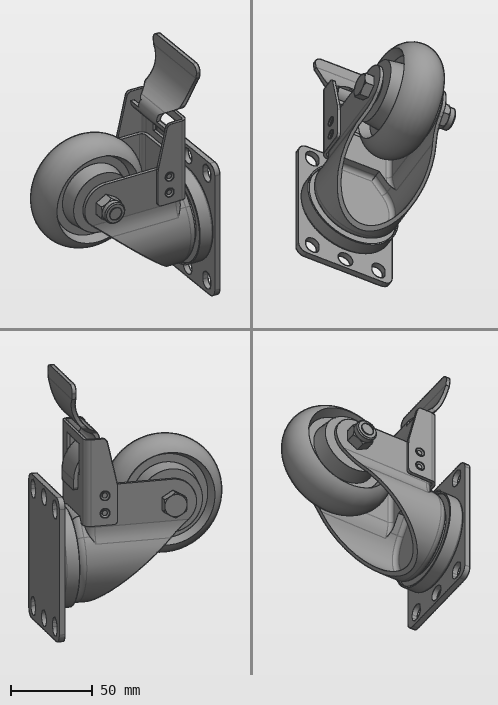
import cadquery as cq
import math


plate_width = 65.1
plate_height = 92.0
plate_thickness = 3.7
plate_corner_radius = 6.0
slot_spacing_x = 46.0
slot_spacing_z = 74.8
slot_width = 9.0
slot_length = 11.7
middle_hole_spacing = 77.5
middle_hole_diameter = 10.2

race_diameter = 63.0
race_radius = race_diameter / 2
race_height = 9.7
race_rounding = 1.5
race_rim = 1.0
race_recess_depth = 1.6
race_front = plate_thickness + race_height

fork_thickness = 2.3
cup_radius = 29.0
cup_rounding = 5.2
cup_lip_depth = 22.0
cup_shoulder_angle = math.radians(38)
arm_outer = 23.0
arm_inner = arm_outer - fork_thickness
arm_end_radius = 15.0
neck_blend_radius = 21.2
neck_bend_radius = 5.0
cavity_radius = cup_radius - fork_thickness
blend_center_x = arm_outer + neck_blend_radius
blend_center_z = math.sqrt((cup_radius + neck_blend_radius) ** 2 - blend_center_x**2)

axle_y = -75.5
axle_z = 35.2
fork_top = axle_z + arm_end_radius

tread_radius = 37.5
tire_edge_radius = 29.5
tire_width = 28.0
tire_half_width = tire_width / 2
recess_outer_radius = 26.9
recess_floor_x = 7.5
hub_root_radius = 21.7
hub_radius = 20.2
hub_half_width = 18.3
spacer_radius = 10.0

hex_flats = 14.1
hex_corners = hex_flats / math.cos(math.pi / 6)
bolt_head_chamfer_angle = math.radians(30)
nut_chamfer_angle = math.radians(45)
bolt_head_height = 6.2
nut_height = 7.3
collar_radius = 7.1
collar_height = 4.0
collar_chamfer = 0.8
bolt_tip_radius = 4.2
bolt_end = 35.0

bracket_thickness = 2.0
bracket_outer = arm_outer + bracket_thickness
bracket_front = 20.5
bracket_back = bracket_front - bracket_thickness
bracket_bend_radius = 3.9
bracket_depth = 39.5
bracket_top_depth = 32.5
bracket_bottom = 25.1
bracket_top = 80.4
bracket_shoulder = 50.4
bracket_bottom_rounding = 2.3
bracket_shoulder_rounding = 19.5
bracket_top_rounding = 3.2
window_half_width = 12.8
window_bottom = 55.2
window_top = 74.8

rivet_depth = 31.5
rivet_heights = (32.9, 44.0)
rivet_radius = 3.0
rivet_head_height = 0.5
rivet_dish_radius = 2.8
rivet_dish_bottom_radius = 1.6
rivet_dish_depth = 0.8

pedal_thickness = 2.6
pedal_top = 116.0
paddle_depth = 11.5
paddle_half_width = 26.0
paddle_side_height = 4.9
paddle_bend_start = 107.4
paddle_bend_radius = 29.3
paddle_corner_radius = 4.5
bend_half_width = 25.3
flank_half_width = 21.0
flank_height = 98.8
waist_half_width = 20.5
waist_height = 86.7
waist_rounding = 2.0
neck_half_width = 10.9
neck_top = 80.2
ear_half_width = 20.1
curl_front = 32.2
curl_radius = 6.2
tongue_half_width = 12.5
tongue_depth = 16.5
tongue_bottom = 45.2
tongue_bend_radius = 21.0
tongue_corner_radius = 1.6


def disc_along_y(radius, start, depth):
    """Round slab about the Y axis, from Y = -start towards -Y."""
    return cq.Workplane("XZ", origin=(0, -start, 0)).circle(radius).extrude(depth)


def cylinder_along_x(radius, x_from, x_to):
    """Cylinder on the axle line."""
    return (
        cq.Workplane("YZ", origin=(x_from, axle_y, axle_z)).circle(radius).extrude(x_to - x_from)
    )


def make_plate():
    plate = (
        cq.Workplane("XZ")
        .rect(plate_width, plate_height)
        .extrude(plate_thickness)
        .edges("|Y")
        .fillet(plate_corner_radius)
    )
    slots = (
        cq.Workplane("XZ")
        .rect(slot_spacing_x, slot_spacing_z, forConstruction=True)
        .vertices()
        .slot2D(slot_length, slot_width, 90)
        .extrude(plate_thickness)
    )
    middle_holes = (
        cq.Workplane("XZ")
        .pushPoints([(0, middle_hole_spacing / 2), (0, -middle_hole_spacing / 2)])
        .circle(middle_hole_diameter / 2)
        .extrude(plate_thickness)
    )
    return plate.cut(slots).cut(middle_holes)


def make_race():
    race = disc_along_y(race_radius, plate_thickness, race_height).edges(">Y").fillet(race_rounding)
    recess = disc_along_y(race_radius - race_rim, race_front - race_recess_depth, race_recess_depth)
    seat = disc_along_y(cup_radius - cup_rounding, race_front - race_recess_depth, race_recess_depth)
    return race.cut(recess).union(seat)


def keyhole(round_radius, half_width, start):
    """Round end blended into a straight neck, extruded from Y = -start to beyond the arms."""
    blend_radius = blend_center_x - half_width
    blend_angle = math.atan2(blend_center_z, blend_center_x)
    tangent_x = round_radius * math.cos(blend_angle)
    tangent_z = round_radius * math.sin(blend_angle)
    middle_x = blend_center_x - blend_radius * math.cos(blend_angle / 2)
    middle_z = blend_center_z - blend_radius * math.sin(blend_angle / 2)
    return (
        cq.Workplane("XZ", origin=(0, -start, 0))
        .moveTo(-half_width, fork_top)
        .lineTo(-half_width, blend_center_z)
        .threePointArc((-middle_x, middle_z), (-tangent_x, tangent_z))
        .threePointArc((0, -round_radius), (tangent_x, tangent_z))
        .threePointArc((middle_x, middle_z), (half_width, blend_center_z))
        .lineTo(half_width, fork_top)
        .close()
        .extrude(-axle_y + arm_end_radius)
        .faces(">Y")
        .edges("not >Z")
        .fillet(neck_bend_radius - (arm_outer - half_width))
    )


def fork_side_shape():
    """Side outline of the fork: a sloping lower edge tangent to the round arm ends."""
    lip_y = -cup_lip_depth
    lip_z = -cup_radius
    distance = math.hypot(axle_y - lip_y, axle_z - lip_z)
    to_axle = math.atan2(axle_z - lip_z, axle_y - lip_y)
    slope = to_axle + math.asin(arm_end_radius / distance)
    tangent_angle = slope + math.pi / 2
    tangent_y = axle_y + arm_end_radius * math.cos(tangent_angle)
    tangent_z = axle_z + arm_end_radius * math.sin(tangent_angle)
    return (
        cq.Workplane("YZ")
        .moveTo(-race_front, fork_top)
        .lineTo(-race_front, lip_z)
        .lineTo(lip_y, lip_z)
        .lineTo(tangent_y, tangent_z)
        .threePointArc((axle_y - arm_end_radius, axle_z), (axle_y, fork_top))
        .close()
        .extrude(cup_radius, both=True)
    )


def cup_block(radius, start, depth):
    """Round block with two slanted shoulders and a flat top, from Y = -start towards -Y."""
    tangent_x = radius * math.cos(cup_shoulder_angle)
    tangent_z = radius * math.sin(cup_shoulder_angle)
    top_half_width = radius * math.tan((math.pi / 2 - cup_shoulder_angle) / 2)
    return (
        cq.Workplane("XZ", origin=(0, -start, 0))
        .moveTo(-top_half_width, radius)
        .lineTo(-tangent_x, tangent_z)
        .threePointArc((0, -radius), (tangent_x, tangent_z))
        .lineTo(top_half_width, radius)
        .close()
        .extrude(depth)
    )


def make_cup_cavity():
    floor = race_front + fork_thickness
    return (
        cup_block(cavity_radius, floor, neck_bend_radius + bracket_front - race_front)
        .faces(">Y")
        .edges()
        .fillet(cup_rounding - fork_thickness)
    )


def make_fork():
    cup = (
        cup_block(cup_radius, race_front, cup_rounding + neck_bend_radius + fork_thickness)
        .faces(">Y")
        .edges()
        .fillet(cup_rounding)
    )
    outside = cup.union(keyhole(cup_radius, arm_outer, bracket_front))
    inside = keyhole(cavity_radius, arm_inner, bracket_front + fork_thickness)
    return outside.cut(inside).intersect(fork_side_shape())


def u_channel(half_width, start, bend_radius):
    """Block with two rounded back edges, from Y = -start towards -Y over the bracket height."""
    depth = bracket_depth - start
    return (
        cq.Workplane("XY", origin=(0, -start - depth / 2, bracket_bottom))
        .rect(2 * half_width, depth)
        .extrude(bracket_top - bracket_bottom)
        .edges("|Z and >Y")
        .fillet(bend_radius)
    )


def round_edge(body, y, z, radius):
    """Round the X-parallel edge of a prism at the given place."""
    return body.edges(cq.selectors.NearestToPointSelector((0, y, z))).fillet(radius)


def make_bracket():
    channel = u_channel(bracket_outer, bracket_back, bracket_bend_radius).cut(
        u_channel(arm_outer, bracket_front, bracket_bend_radius - bracket_thickness)
    )
    side = (
        cq.Workplane("YZ")
        .moveTo(-bracket_back, bracket_bottom)
        .lineTo(-bracket_depth, bracket_bottom)
        .lineTo(-bracket_depth, bracket_shoulder)
        .lineTo(-bracket_top_depth, bracket_top)
        .lineTo(-bracket_back, bracket_top)
        .close()
        .extrude(bracket_outer, both=True)
    )
    side = round_edge(side, -bracket_depth, bracket_bottom, bracket_bottom_rounding)
    side = round_edge(side, -bracket_depth, bracket_shoulder, bracket_shoulder_rounding)
    side = round_edge(side, -bracket_top_depth, bracket_top, bracket_top_rounding)
    window = (
        cq.Workplane("XZ", origin=(0, -bracket_back, 0))
        .moveTo(0, (window_top + window_bottom) / 2)
        .rect(2 * window_half_width, window_top - window_bottom)
        .extrude(bracket_thickness)
    )
    return channel.intersect(side).cut(window)


def make_rivet_heads():
    """Rivet heads on the +X side of the bracket."""
    return (
        cq.Workplane("YZ", origin=(bracket_outer, 0, 0))
        .pushPoints([(-rivet_depth, height) for height in rivet_heights])
        .circle(rivet_radius)
        .extrude(rivet_head_height)
    )


def make_rivet_dishes():
    """Conical hollows in the rivet heads on the +X side."""
    taper = math.degrees(
        math.atan((rivet_dish_radius - rivet_dish_bottom_radius) / rivet_dish_depth)
    )
    return (
        cq.Workplane("YZ", origin=(bracket_outer + rivet_head_height, 0, 0))
        .pushPoints([(-rivet_depth, height) for height in rivet_heights])
        .circle(rivet_dish_radius)
        .extrude(-rivet_dish_depth, taper=taper)
    )


def make_wheel():
    """Tire, recessed web, hub and spacers, turned about the axle line."""
    return (
        cq.Workplane("XY", origin=(0, axle_y, axle_z))
        .moveTo(-arm_inner, 0)
        .lineTo(-arm_inner, spacer_radius)
        .lineTo(-hub_half_width, spacer_radius)
        .lineTo(-hub_half_width, hub_radius)
        .lineTo(-recess_floor_x, hub_root_radius)
        .lineTo(-recess_floor_x, recess_outer_radius)
        .lineTo(-tire_half_width, tire_edge_radius)
        .threePointArc((0, tread_radius), (tire_half_width, tire_edge_radius))
        .lineTo(recess_floor_x, recess_outer_radius)
        .lineTo(recess_floor_x, hub_root_radius)
        .lineTo(hub_half_width, hub_radius)
        .lineTo(hub_half_width, spacer_radius)
        .lineTo(arm_inner, spacer_radius)
        .lineTo(arm_inner, 0)
        .close()
        .revolve(360, (0, 0, 0), (1, 0, 0))
    )


def hex_piece(height, chamfer_angle):
    """Hexagon outside the +X arm, its outer corners turned off to a cone."""
    corner_drop = (hex_corners - hex_flats) / 2 * math.tan(chamfer_angle)
    hexagon = (
        cq.Workplane("YZ", origin=(arm_outer, axle_y, axle_z))
        .transformed(rotate=(0, 0, 90))
        .polygon(6, hex_corners)
        .extrude(height)
    )
    envelope = (
        cq.Workplane("XY", origin=(arm_outer, axle_y, axle_z))
        .lineTo(0, hex_corners / 2)
        .lineTo(height - corner_drop, hex_corners / 2)
        .lineTo(height, hex_flats / 2)
        .lineTo(height, 0)
        .close()
        .revolve(360, (0, 0, 0), (1, 0, 0))
    )
    return hexagon.intersect(envelope)


def make_axle():
    collar_start = arm_outer + nut_height
    collar_end = collar_start + collar_height
    bolt_head = hex_piece(bolt_head_height, bolt_head_chamfer_angle).mirror("YZ")
    shank = cylinder_along_x(bolt_tip_radius, -arm_outer, bolt_end)
    collar = (
        cylinder_along_x(collar_radius, collar_start, collar_end)
        .faces(">X")
        .edges()
        .chamfer(collar_chamfer)
    )
    nut = hex_piece(nut_height, nut_chamfer_angle)
    return shank.union(bolt_head).union(nut).union(collar)


def make_caster():
    rivet_heads = make_rivet_heads()
    rivet_dishes = make_rivet_dishes()
    fork_and_bracket = (
        make_fork()
        .union(make_bracket())
        .cut(make_cup_cavity())
        .union(rivet_heads)
        .union(rivet_heads.mirror("YZ"))
        .cut(rivet_dishes)
        .cut(rivet_dishes.mirror("YZ"))
    )
    return (
        make_plate()
        .union(make_race())
        .union(fork_and_bracket)
        .union(make_wheel())
        .union(make_axle())
    )


def ribbon(path, half_width, y, z):
    """Sheet strip swept along a path that starts vertically at the given Y and Z."""
    return (
        cq.Workplane("XY", origin=(0, y, z)).rect(2 * half_width, pedal_thickness).sweep(path)
    )


def paddle_outline(lower_end):
    """Outline of paddle and neck down to a given height, as a prism along Y."""
    half = (
        cq.Workplane("XZ")
        .moveTo(0, pedal_top)
        .lineTo(paddle_half_width, pedal_top)
        .lineTo(paddle_half_width, pedal_top - paddle_side_height)
        .lineTo(bend_half_width, paddle_bend_start)
        .threePointArc((flank_half_width, flank_height), (waist_half_width, waist_height))
        .lineTo(neck_half_width, neck_top)
        .lineTo(neck_half_width, lower_end)
        .lineTo(0, lower_end)
        .close()
        .extrude(curl_front)
    )
    middle_y = -curl_front / 2
    waist_corner = cq.selectors.NearestToPointSelector((waist_half_width, middle_y, waist_height))
    top_corner = cq.selectors.NearestToPointSelector((paddle_half_width, middle_y, pedal_top))
    half = half.edges(waist_corner).fillet(waist_rounding).edges(top_corner).fillet(paddle_corner_radius)
    return half.union(half.mirror("YZ"))


def make_pedal():
    curl_y = curl_front - pedal_thickness / 2 - curl_radius
    paddle_angle = math.acos(
        (paddle_depth + paddle_bend_radius - curl_y) / (paddle_bend_radius + curl_radius)
    )
    curl_z = paddle_bend_start - (paddle_bend_radius + curl_radius) * math.sin(paddle_angle)
    ear_angle = math.acos(
        (tongue_depth + tongue_bend_radius - curl_y) / (tongue_bend_radius + curl_radius)
    )
    tongue_bend_z = curl_z - (tongue_bend_radius + curl_radius) * math.sin(ear_angle)
    curl_start = (
        -curl_y - curl_radius * math.cos(paddle_angle),
        curl_z + curl_radius * math.sin(paddle_angle),
    )
    curl_middle = (-curl_y - curl_radius, curl_z)
    curl_end = (
        -curl_y - curl_radius * math.cos(ear_angle),
        curl_z - curl_radius * math.sin(ear_angle),
    )
    ear_middle = (
        -curl_y - curl_radius * math.cos(ear_angle / 2),
        curl_z - curl_radius * math.sin(ear_angle / 2),
    )

    paddle_path = (
        cq.Workplane("YZ")
        .moveTo(-paddle_depth, pedal_top)
        .lineTo(-paddle_depth, paddle_bend_start)
        .tangentArcPoint(curl_start, relative=False)
        .tangentArcPoint(curl_middle, relative=False)
    )
    paddle = ribbon(paddle_path, paddle_half_width, -paddle_depth, pedal_top).intersect(
        paddle_outline(curl_z)
    )

    ear_path = (
        cq.Workplane("YZ")
        .moveTo(*curl_middle)
        .threePointArc(ear_middle, curl_end)
    )
    ears = ribbon(ear_path, ear_half_width, *curl_middle)

    tongue_path = (
        cq.Workplane("YZ")
        .moveTo(-tongue_depth, tongue_bottom)
        .lineTo(-tongue_depth, tongue_bend_z)
        .tangentArcPoint(curl_end, relative=False)
    )
    tongue = (
        ribbon(tongue_path, tongue_half_width, -tongue_depth, tongue_bottom)
        .edges("|Y and <Z")
        .fillet(tongue_corner_radius)
    )
    return paddle.union(ears).union(tongue)


caster = make_caster()
pedal = make_pedal()

result = cq.Compound.makeCompound([caster.val(), pedal.val()])